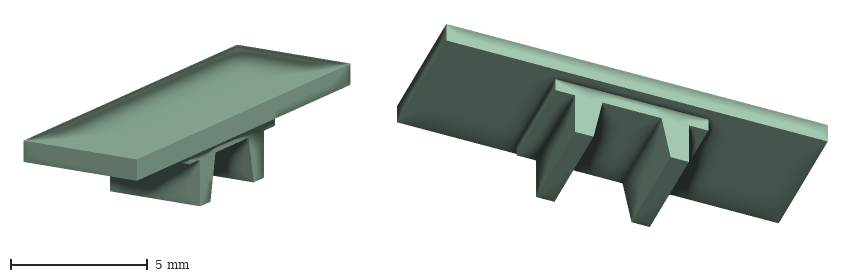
import cadquery as cq

plate_width = 4.85
plate_length = 15.0
plate_thickness = 0.81

pad_width = 3.85
pad_length = 6.0
pad_thickness = 0.54

total_height = 3.14
legs_outer_span = 4.47
gap_at_root = 2.32
gap_at_tip = 3.03

plate_bottom = total_height - plate_thickness
pad_bottom = plate_bottom - pad_thickness


def make_block(width, length, thickness, bottom):
    """Rectangular block centred on the Z axis, standing on the given height."""
    block = cq.Workplane("XY").box(width, length, thickness, centered=(True, True, False))
    return block.translate((0, 0, bottom))


def make_leg(side):
    """Tapered leg on the +Y (side = 1) or -Y (side = -1) half of the pad."""
    outline = [
        (side * legs_outer_span / 2, 0),
        (side * legs_outer_span / 2, pad_bottom),
        (side * gap_at_root / 2, pad_bottom),
        (side * gap_at_tip / 2, 0),
    ]
    return cq.Workplane("YZ").polyline(outline).close().extrude(pad_width / 2, both=True)


plate = make_block(plate_width, plate_length, plate_thickness, plate_bottom)
pad = make_block(pad_width, pad_length, pad_thickness, pad_bottom)

result = plate.union(pad)
for side in (-1, 1):
    result = result.union(make_leg(side))